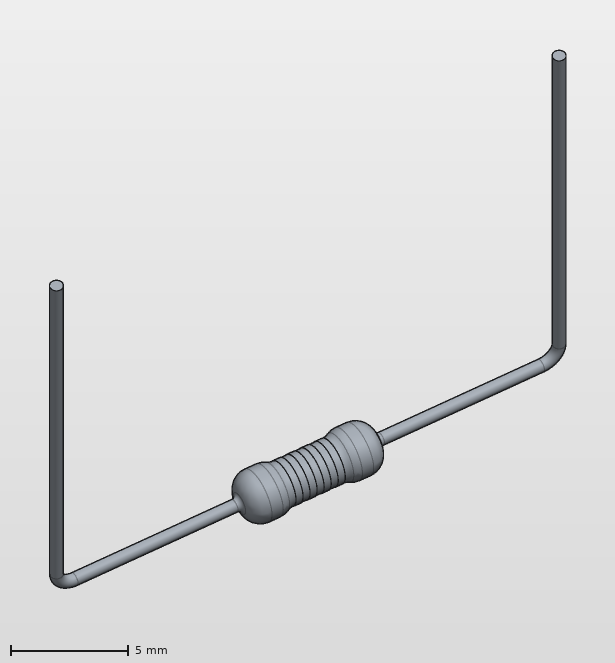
import cadquery as cq
import math


lead_diameter = 0.6
lead_spacing = 25.0
bend_radius = 0.9
overall_height = 21.1

cap_diameter = 2.5
waist_diameter = 2.12
cap_inner_y = 1.97
cap_outer_y = 2.53
dome_radius = 0.88
lead_fillet_radius = 0.25

band_diameter = 2.15
ring_count = 7
banded_length = 2.45

lead_radius = lead_diameter / 2
cap_radius = cap_diameter / 2
waist_radius = waist_diameter / 2
lead_top_z = overall_height - cap_radius

ring_width = banded_length / ring_count
waist_end_y = banded_length / 2

dome_centre_r = cap_radius - dome_radius
fillet_centre_r = lead_radius + lead_fillet_radius
dome_to_fillet = dome_radius + lead_fillet_radius
dome_tilt = math.asin((fillet_centre_r - dome_centre_r) / dome_to_fillet)
fillet_end_y = cap_outer_y + dome_to_fillet * math.cos(dome_tilt)

step_length = cap_inner_y - waist_end_y
step_drop = cap_radius - waist_radius
step_arc_radius = (step_length**2 + step_drop**2) / (4 * step_drop)
step_half_angle = math.asin(step_length / 2 / step_arc_radius) / 2


def point_on_arc(centre, radius, angle):
    """Point (radial, axial) on an arc; the angle is measured from the radial direction."""
    return (centre[0] + radius * math.cos(angle), centre[1] + radius * math.sin(angle))


def make_end_cap():
    """End cap on the +Y side, from the end of the banded waist to the lead."""
    dome_centre = (dome_centre_r, cap_outer_y)
    fillet_centre = (fillet_centre_r, fillet_end_y)
    cap_step_centre = (cap_radius - step_arc_radius, cap_inner_y)
    waist_step_centre = (waist_radius + step_arc_radius, waist_end_y)

    step_middle = ((cap_radius + waist_radius) / 2, (cap_inner_y + waist_end_y) / 2)
    dome_end_angle = math.pi / 2 - dome_tilt
    dome_end = point_on_arc(dome_centre, dome_radius, dome_end_angle)
    fillet_middle_angle = math.pi + dome_end_angle / 2

    profile = (
        cq.Workplane("XY")
        .moveTo(0, waist_end_y)
        .lineTo(waist_radius, waist_end_y)
        .threePointArc(
            point_on_arc(waist_step_centre, -step_arc_radius, -step_half_angle),
            step_middle,
        )
        .threePointArc(
            point_on_arc(cap_step_centre, step_arc_radius, -step_half_angle),
            (cap_radius, cap_inner_y),
        )
        .lineTo(cap_radius, cap_outer_y)
        .threePointArc(point_on_arc(dome_centre, dome_radius, dome_end_angle / 2), dome_end)
        .threePointArc(
            point_on_arc(fillet_centre, lead_fillet_radius, fillet_middle_angle),
            (lead_radius, fillet_end_y),
        )
        .lineTo(0, fillet_end_y)
        .close()
    )
    return profile.revolve(360, (0, 0, 0), (0, 1, 0))


def make_ring(index):
    """One ring of the waist; every second ring is a slightly raised band."""
    diameter = band_diameter if index % 2 == 0 else waist_diameter
    start_y = -waist_end_y + index * ring_width
    ring_plane = cq.Workplane("XZ", origin=(0, start_y, 0))
    return ring_plane.circle(diameter / 2).extrude(-ring_width)


def make_lead():
    """Lead on the +Y side: straight out of the body, then bent up."""
    lead_y = lead_spacing / 2
    bend_start_y = lead_y - bend_radius
    chord_offset = bend_radius * math.sin(math.pi / 4)
    path = (
        cq.Workplane("YZ")
        .moveTo(fillet_end_y, 0)
        .lineTo(bend_start_y, 0)
        .threePointArc(
            (bend_start_y + chord_offset, bend_radius - chord_offset),
            (lead_y, bend_radius),
        )
        .lineTo(lead_y, lead_top_z)
    )
    section = cq.Workplane("XZ", origin=(0, fillet_end_y, 0)).circle(lead_radius)
    return section.sweep(path)


end_with_lead = make_end_cap().union(make_lead())
result = end_with_lead
for ring_index in range(ring_count):
    result = result.union(make_ring(ring_index))
result = result.union(end_with_lead.mirror("XZ"))